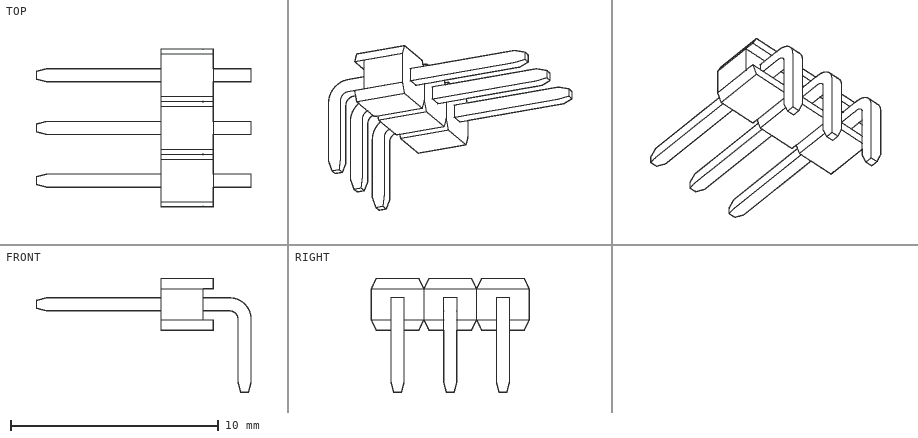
import cadquery as cq
import math


pin_count = 3
pitch = 2.54

housing_length = 2.54
housing_width = pitch
housing_height = 2.5
corner_width = 0.24
corner_height = 0.5
groove_depth = 0.5
groove_height = housing_height - 2 * corner_height

pin_width = 0.64
tip_length = 0.5
tip_width = 0.6 * pin_width
mating_length = 6.0
leg_offset = 1.5
leg_axis_x = housing_length + leg_offset
leg_bottom_z = -4.25
bend_inner_radius = 0.4
bend_axis_radius = bend_inner_radius + pin_width / 2
bend_outer_radius = bend_inner_radius + pin_width


def make_housing():
    """One housing segment with bevelled long edges, a rear groove and a square pin hole."""
    half_width = housing_width / 2
    half_height = housing_height / 2
    half_top = half_width - corner_width
    half_side = half_height - corner_height
    block = (
        cq.Workplane("YZ")
        .moveTo(-half_top, -half_height)
        .lineTo(half_top, -half_height)
        .lineTo(half_width, -half_side)
        .lineTo(half_width, half_side)
        .lineTo(half_top, half_height)
        .lineTo(-half_top, half_height)
        .lineTo(-half_width, half_side)
        .lineTo(-half_width, -half_side)
        .close()
        .extrude(housing_length)
    )
    groove = (
        cq.Workplane("XY")
        .box(groove_depth, housing_width, groove_height)
        .translate((housing_length - groove_depth / 2, 0, 0))
    )
    pin_hole = cq.Workplane("YZ").rect(pin_width, pin_width).extrude(housing_length)
    return block.cut(groove).cut(pin_hole)


def make_tip(base_plane):
    """Square tip that narrows along the normal of the plane it stands on."""
    return (
        cq.Workplane(base_plane)
        .rect(pin_width, pin_width)
        .workplane(offset=tip_length)
        .rect(tip_width, tip_width)
        .loft(ruled=True)
    )


def make_pin():
    """Square pin bent down through a right angle, with a tapered tip at each end."""
    half_width = pin_width / 2
    bend_start_x = leg_axis_x - bend_axis_radius
    bend_centre_z = -bend_axis_radius
    mating_tip_x = tip_length - mating_length
    leg_tip_z = leg_bottom_z + tip_length
    diagonal = math.sqrt(0.5)
    outer_middle = (
        bend_start_x + bend_outer_radius * diagonal,
        bend_centre_z + bend_outer_radius * diagonal,
    )
    inner_middle = (
        bend_start_x + bend_inner_radius * diagonal,
        bend_centre_z + bend_inner_radius * diagonal,
    )
    shank = (
        cq.Workplane("XZ")
        .moveTo(mating_tip_x, half_width)
        .lineTo(bend_start_x, half_width)
        .threePointArc(outer_middle, (leg_axis_x + half_width, bend_centre_z))
        .lineTo(leg_axis_x + half_width, leg_tip_z)
        .lineTo(leg_axis_x - half_width, leg_tip_z)
        .lineTo(leg_axis_x - half_width, bend_centre_z)
        .threePointArc(inner_middle, (bend_start_x, -half_width))
        .lineTo(mating_tip_x, -half_width)
        .close()
        .extrude(half_width, both=True)
    )
    mating_end = cq.Plane(origin=(mating_tip_x, 0, 0), xDir=(0, 1, 0), normal=(-1, 0, 0))
    leg_end = cq.Plane(origin=(leg_axis_x, 0, leg_tip_z), xDir=(1, 0, 0), normal=(0, 0, -1))
    return shank.union(make_tip(mating_end)).union(make_tip(leg_end))


bodies = []
for position in range(pin_count):
    row_y = (position - (pin_count - 1) / 2) * pitch
    housing = make_housing().translate((0, row_y, 0))
    pin = make_pin().translate((0, row_y, 0))
    bodies.append(housing.val())
    bodies.append(pin.val())

result = cq.Compound.makeCompound(bodies)